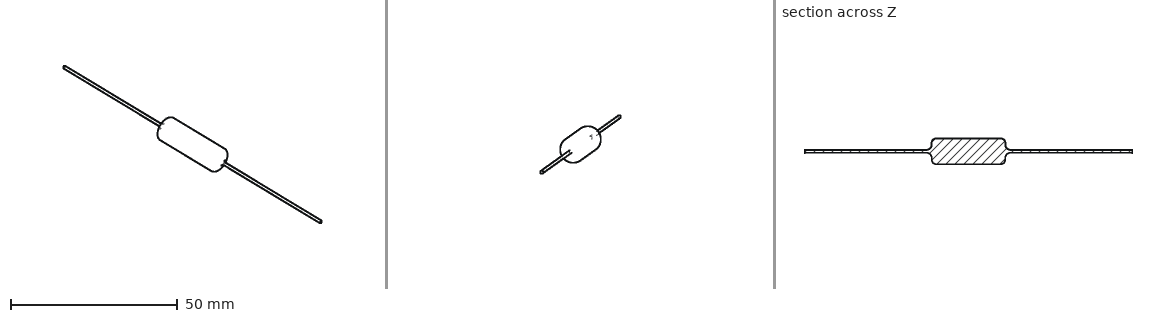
import cadquery as cq

overall_length = 98.4
body_length = 22.2
body_diameter = 7.9
body_edge_radius = 1.5
lead_diameter = 1.0
flare_radius = 1.5

half_body = body_length / 2
lead_radius = lead_diameter / 2


def cylinder_along_x(diameter, length):
    """Cylinder on the X axis, centred on the origin."""
    return cq.Workplane("YZ", origin=(-length / 2, 0, 0)).circle(diameter / 2).extrude(length)


def flare():
    """Concave flare blending the +X body face into the lead."""
    tip_x = half_body + flare_radius
    base_radius = lead_radius + flare_radius
    return (
        cq.Workplane("XY")
        .moveTo(half_body, 0)
        .lineTo(half_body, base_radius)
        .radiusArc((tip_x, lead_radius), -flare_radius)
        .lineTo(tip_x, 0)
        .close()
        .revolve(360, (0, 0, 0), (1, 0, 0))
    )


body = cylinder_along_x(body_diameter, body_length).faces("<X or >X").edges().fillet(body_edge_radius)
lead = cylinder_along_x(lead_diameter, overall_length)
right_flare = flare()
left_flare = right_flare.mirror("YZ")

result = body.union(lead).union(right_flare).union(left_flare)